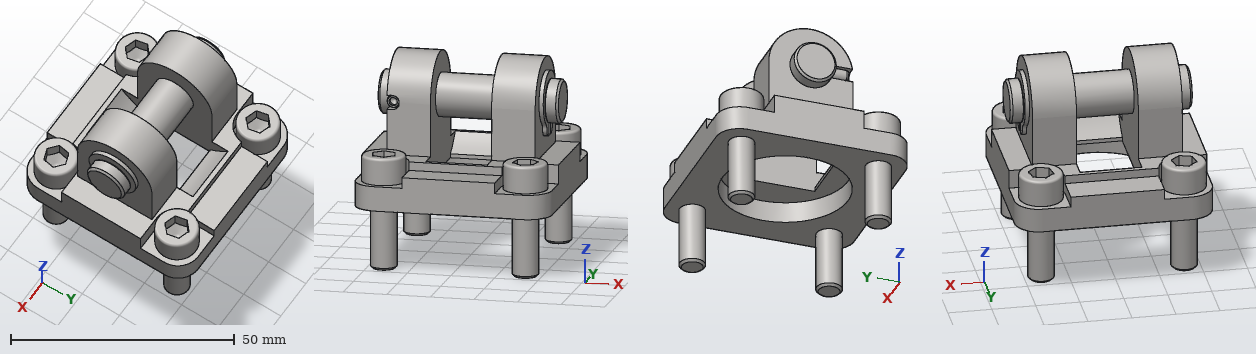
import cadquery as cq
import math


plate_side = 45.0
plate_corner_radius = 5.5
deck_height = 10.0
ledge_height = 8.05
ledge_inner_y = 15.55
pocket_floor = 5.63
pocket_inner = 10.65
pocket_inner_radius = 5.6
bore_diameter = 30.0
bore_depth = 5.0

lug_inner_x = 7.0
lug_outer_x = 17.0
lug_radius = 10.0
pin_axis_z = 22.0
swing_radius = 18.7
window_length = 19.05

pin_diameter = 10.0
pin_left_x = -20.3
pin_right_x = 21.05
pin_chamfer = 0.5

groove_diameter = 9.5
groove_width = 1.1
ring_thickness = 0.98
ring_radius = 6.3
ring_offset_z = 0.55
ear_radius = 1.8
ear_center_y = 0.95
ear_center_z = -6.1
ear_gap = 1.4

set_screw_x = -15.8
set_screw_diameter = 3.0
set_screw_slot_width = 3.2
set_screw_end_y = -8.97
set_screw_taper_length = 0.5
set_screw_taper_depth = 0.2
set_screw_hole_diameter = 1.85
set_screw_hole_depth = 1.0

screw_spacing = 32.5
screw_diameter = 6.0
screw_tip_z = -14.5
screw_tip_chamfer = 0.55
head_diameter = 10.0
head_height = 6.05
head_fillet = 0.6
socket_across_corners = 5.75
socket_depth = 3.0
socket_angle = -18.0
turned_socket_angle = 20.0
drill_point_angle = 120.0


def cone_depth(radius):
    """Height of a drill point of the given radius."""
    return radius / math.tan(math.radians(drill_point_angle / 2))


def drilled_hole(radius, depth):
    """Blind hole with a conical end, running down -Z from the origin."""
    return (
        cq.Workplane("XZ")
        .polyline([(0, 0), (radius, 0), (radius, -depth), (0, -depth - cone_depth(radius))])
        .close()
        .revolve(360, (0, 0), (0, 1))
    )


def make_plate():
    plate = (
        cq.Workplane("XY")
        .rect(plate_side, plate_side)
        .extrude(deck_height)
        .edges("|Z")
        .fillet(plate_corner_radius)
    )

    ledge_width = plate_side / 2 - ledge_inner_y
    ledge = (
        cq.Workplane("XY", origin=(0, 0, ledge_height))
        .pushPoints([(0, side * (ledge_inner_y + ledge_width / 2)) for side in (-1, 1)])
        .rect(plate_side, ledge_width)
        .extrude(deck_height - ledge_height)
    )
    plate = plate.cut(ledge)

    pocket_side = plate_side / 2
    pocket = (
        cq.Workplane("XY", origin=(pocket_inner, pocket_inner, pocket_floor))
        .rect(pocket_side, pocket_side, centered=False)
        .extrude(deck_height - pocket_floor)
        .edges("|Z and <X and <Y")
        .fillet(pocket_inner_radius)
    )
    for quarter_turn in range(4):
        plate = plate.cut(pocket.rotate((0, 0, 0), (0, 0, 1), 90 * quarter_turn))
    return plate


def make_lug(inner_x):
    """Round-topped lug standing on the plate, from inner_x towards +X."""
    return (
        cq.Workplane("YZ", origin=(inner_x, 0, 0))
        .moveTo(-lug_radius, bore_depth)
        .lineTo(-lug_radius, pin_axis_z)
        .threePointArc((0, pin_axis_z + lug_radius), (lug_radius, pin_axis_z))
        .lineTo(lug_radius, bore_depth)
        .close()
        .extrude(lug_outer_x - lug_inner_x)
    )


def make_swing_clearance():
    """Round clearance about the pin axis, running out into a straight window through the plate."""
    window = cq.Workplane("XY").rect(2 * lug_inner_x, window_length).extrude(deck_height)
    clearance = (
        cq.Workplane("YZ", origin=(-lug_inner_x, 0, pin_axis_z))
        .circle(swing_radius)
        .extrude(2 * lug_inner_x)
    )
    return clearance.union(window)


def make_bore():
    return cq.Workplane("XY").circle(bore_diameter / 2).extrude(bore_depth)


def make_set_screw_slot():
    """Round-ended slot from the pin axis to the front, open through the outside of the -X lug."""
    round_end = (
        cq.Workplane("XZ", origin=(set_screw_x, 0, pin_axis_z))
        .circle(set_screw_slot_width / 2)
        .extrude(lug_radius)
    )
    opening = (
        cq.Workplane("XY")
        .box(set_screw_slot_width, lug_radius, set_screw_slot_width, centered=(False, False, True))
        .translate((set_screw_x - set_screw_slot_width, -lug_radius, pin_axis_z))
    )
    return round_end.union(opening)


def make_set_screw():
    radius = set_screw_diameter / 2
    length = -set_screw_end_y
    body = (
        cq.Workplane("XY")
        .circle(radius)
        .extrude(length)
        .faces(">Z")
        .chamfer(set_screw_taper_length, set_screw_taper_depth)
    )
    hole = drilled_hole(set_screw_hole_diameter / 2, set_screw_hole_depth).translate((0, 0, length))
    return (
        body.cut(hole)
        .rotate((0, 0, 0), (1, 0, 0), 90)
        .translate((set_screw_x, 0, pin_axis_z))
    )


def make_pin():
    pin = (
        cq.Workplane("YZ", origin=(pin_left_x, 0, pin_axis_z))
        .circle(pin_diameter / 2)
        .extrude(pin_right_x - pin_left_x)
        .faces("<X or >X")
        .chamfer(pin_chamfer)
    )
    groove = (
        cq.Workplane("YZ", origin=(lug_outer_x, 0, pin_axis_z))
        .circle(pin_diameter / 2)
        .circle(groove_diameter / 2)
        .extrude(groove_width)
    )
    return pin.cut(groove)


def make_ear_side(side):
    """One ear of the retaining ring with the hollow fillet that leads into it."""
    ear_edge_y = ear_center_y + ear_radius
    drop = ring_offset_z - ear_center_z
    fillet_radius = (ear_edge_y**2 + drop**2 - ring_radius**2) / (2 * (ring_radius - ear_edge_y))
    fillet_center_y = ear_edge_y + fillet_radius
    touch = ring_radius / (ring_radius + fillet_radius)
    touch_angle = math.atan2(drop, fillet_center_y)
    middle_angle = math.pi - touch_angle / 2
    touch_y = fillet_center_y * touch
    touch_z = ring_offset_z - drop * touch
    middle_y = fillet_center_y + fillet_radius * math.cos(middle_angle)
    middle_z = ear_center_z + fillet_radius * math.sin(middle_angle)
    ear_middle = ear_radius * math.sqrt(0.5)
    gap_y = ear_gap / 2
    ear_bottom_z = ear_center_z - ear_radius

    return (
        cq.Workplane("YZ", origin=(lug_outer_x, 0, pin_axis_z))
        .moveTo(side * gap_y, ring_offset_z)
        .lineTo(side * touch_y, touch_z)
        .threePointArc((side * middle_y, middle_z), (side * ear_edge_y, ear_center_z))
        .threePointArc(
            (side * (ear_center_y + ear_middle), ear_center_z - ear_middle),
            (side * ear_center_y, ear_bottom_z),
        )
        .lineTo(side * gap_y, ear_bottom_z)
        .close()
        .extrude(ring_thickness)
    )


def make_retaining_ring():
    ring = (
        cq.Workplane("YZ", origin=(lug_outer_x, 0, pin_axis_z + ring_offset_z))
        .circle(ring_radius)
        .extrude(ring_thickness)
    )
    gap_depth = ring_radius - ring_offset_z + ear_radius
    gap = (
        cq.Workplane("XY")
        .box(ring_thickness, ear_gap, gap_depth, centered=(False, True, False))
        .translate((lug_outer_x, 0, pin_axis_z - gap_depth))
    )
    return ring.union(make_ear_side(-1)).union(make_ear_side(1)).cut(gap)


def make_screw(angle):
    """Socket head screw on the Z axis, seated on the pocket floor."""
    shank = (
        cq.Workplane("XY", origin=(0, 0, screw_tip_z))
        .circle(screw_diameter / 2)
        .extrude(pocket_floor - screw_tip_z)
        .faces("<Z")
        .chamfer(screw_tip_chamfer)
    )
    head = (
        cq.Workplane("XY", origin=(0, 0, pocket_floor))
        .circle(head_diameter / 2)
        .extrude(head_height)
        .faces(">Z")
        .edges()
        .fillet(head_fillet)
    )
    socket_radius = socket_across_corners / 2
    socket = (
        cq.Workplane("XY")
        .polygon(6, socket_across_corners)
        .extrude(-socket_depth - cone_depth(socket_radius))
        .intersect(drilled_hole(socket_radius, socket_depth))
        .rotate((0, 0, 0), (0, 0, 1), angle)
        .translate((0, 0, pocket_floor + head_height))
    )
    return shank.union(head).cut(socket)


body = make_plate()
for lug_start_x in (lug_inner_x, -lug_outer_x):
    body = body.union(make_lug(lug_start_x))
body = body.cut(make_swing_clearance()).cut(make_bore()).cut(make_set_screw_slot())
body = body.union(make_retaining_ring()).union(make_pin()).union(make_set_screw())

for side_x in (-1, 1):
    for side_y in (-1, 1):
        is_turned = (side_x, side_y) == (1, -1)
        screw = make_screw(turned_socket_angle if is_turned else socket_angle)
        body = body.union(screw.translate((side_x * screw_spacing / 2, side_y * screw_spacing / 2, 0)))

result = body